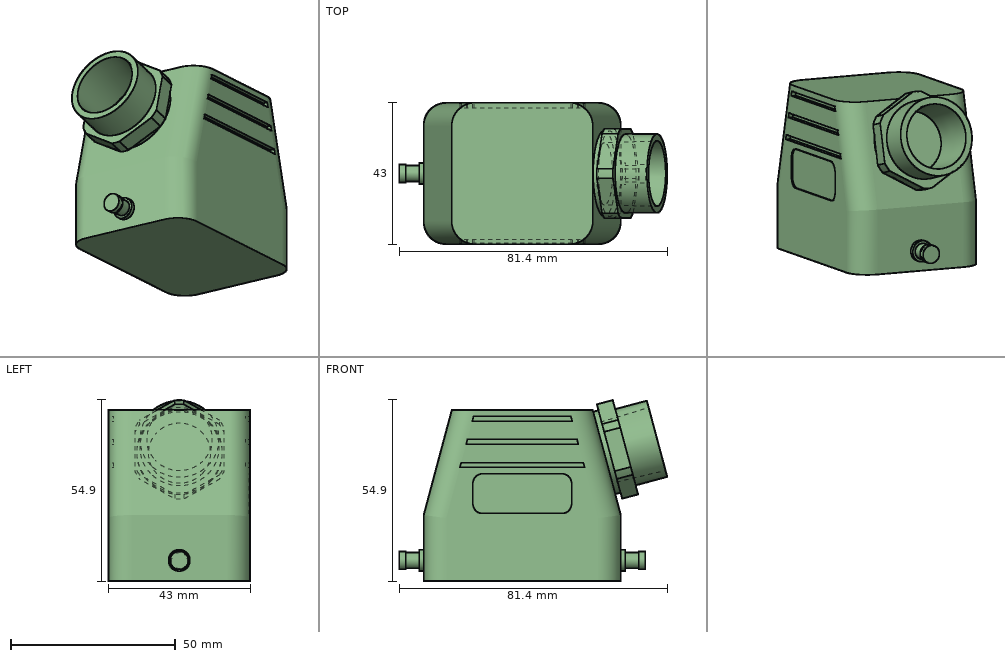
import cadquery as cq
import math


HOUSING_LENGTH = 59.95
HOUSING_WIDTH = 43.0
HOUSING_HEIGHT = 52.0
SHOULDER_HEIGHT = 20.0
LEAN_ANGLE = 15.0
CORNER_RADIUS = 6.9

GROOVE_COUNT = 3
GROOVE_HEIGHT = 1.5
GROOVE_DEPTH = 1.5
GROOVE_PITCH = 7.0
FIRST_GROOVE_DROP = 1.95

PANEL_LENGTH = 30.0
PANEL_HEIGHT = 12.05
PANEL_CENTRE_HEIGHT = 26.55
PANEL_CORNER_RADIUS = 2.9
PANEL_DEPTH = 0.4

PIN_HEIGHT = 6.3
PIN_LENGTH = 7.4
PIN_DIAMETER = 4.9
PIN_FLANGE_DIAMETER = 6.5
PIN_FLANGE_LENGTH = 1.4
PIN_HEAD_DIAMETER = 5.5
PIN_HEAD_LENGTH = 2.0

GLAND_DISTANCE_UP_WALL = 19.55
COLLAR_DIAMETER = 26.0
COLLAR_LENGTH = 1.6
NUT_ACROSS_FLATS = 27.05
NUT_CORNER_DIAMETER = 29.7
NUT_LENGTH = 5.05
TUBE_DIAMETER = 24.0
TUBE_LENGTH = 9.9
BORE_DIAMETER = 18.9
BORE_MOUTH_DIAMETER = 19.9

lean = math.radians(LEAN_ANGLE)
half_length = HOUSING_LENGTH / 2
half_width = HOUSING_WIDTH / 2


def half_length_at(height):
    """Half length of the housing along X at a height above the shoulder."""
    return half_length - (height - SHOULDER_HEIGHT) * math.tan(lean)


def make_housing():
    half_top = half_length_at(HOUSING_HEIGHT)
    return (
        cq.Workplane("XZ")
        .moveTo(-half_length, 0)
        .lineTo(half_length, 0)
        .lineTo(half_length, SHOULDER_HEIGHT)
        .lineTo(half_top, HOUSING_HEIGHT)
        .lineTo(-half_top, HOUSING_HEIGHT)
        .lineTo(-half_length, SHOULDER_HEIGHT)
        .close()
        .extrude(half_width, both=True)
        .faces("<Y or >Y")
        .edges("not #Z")
        .fillet(CORNER_RADIUS)
    )


def make_groove(top):
    """Groove cutter for the -Y side; its ends follow the lines where the rounded corners begin."""
    bottom = top - GROOVE_HEIGHT
    corner_run = CORNER_RADIUS / math.cos(lean)
    half_upper = half_length_at(top) - corner_run
    half_lower = half_length_at(bottom) - corner_run
    outline = [(-half_lower, bottom), (half_lower, bottom), (half_upper, top), (-half_upper, top)]
    return cq.Workplane("XZ", origin=(0, -half_width, 0)).polyline(outline).close().extrude(-GROOVE_DEPTH)


def make_panel():
    return (
        cq.Workplane("XZ", origin=(0, -half_width, PANEL_CENTRE_HEIGHT))
        .rect(PANEL_LENGTH, PANEL_HEIGHT)
        .extrude(-PANEL_DEPTH)
        .edges("|Y")
        .fillet(PANEL_CORNER_RADIUS)
    )


def make_pin():
    """Pin on the +X end: flange, plain shank and head."""
    pin = cq.Workplane("YZ", origin=(half_length, 0, PIN_HEIGHT))
    shank = pin.circle(PIN_DIAMETER / 2).extrude(PIN_LENGTH)
    flange = pin.circle(PIN_FLANGE_DIAMETER / 2).extrude(PIN_FLANGE_LENGTH)
    head = (
        pin.workplane(offset=PIN_LENGTH - PIN_HEAD_LENGTH)
        .circle(PIN_HEAD_DIAMETER / 2)
        .extrude(PIN_HEAD_LENGTH)
    )
    return shank.union(flange).union(head)


def gland_plane(distance):
    """Workplane square to the gland axis, at a distance outwards from the leaning wall."""
    base_height = SHOULDER_HEIGHT + GLAND_DISTANCE_UP_WALL * math.cos(lean)
    x = half_length_at(base_height) + distance * math.cos(lean)
    z = base_height + distance * math.sin(lean)
    outwards = (math.cos(lean), 0, math.sin(lean))
    return cq.Workplane(cq.Plane(origin=(x, 0, z), xDir=(0, 1, 0), normal=outwards))


def make_gland():
    """Collar, hexagon nut and open tube, stacked outwards from the leaning wall."""
    nut_end = COLLAR_LENGTH + NUT_LENGTH
    gland_length = nut_end + TUBE_LENGTH

    collar = gland_plane(0).circle(COLLAR_DIAMETER / 2).extrude(COLLAR_LENGTH)

    nut_plane = gland_plane(COLLAR_LENGTH)
    nut_round = nut_plane.circle(NUT_CORNER_DIAMETER / 2).extrude(NUT_LENGTH)
    nut = nut_plane.polygon(6, NUT_ACROSS_FLATS, circumscribed=True).extrude(NUT_LENGTH).intersect(nut_round)

    tube = gland_plane(nut_end).circle(TUBE_DIAMETER / 2).extrude(TUBE_LENGTH)

    bore = (
        gland_plane(0)
        .circle(BORE_DIAMETER / 2)
        .workplane(offset=gland_length)
        .circle(BORE_MOUTH_DIAMETER / 2)
        .loft()
    )
    return collar.union(nut).union(tube).cut(bore)


result = make_housing()

for index in range(GROOVE_COUNT):
    groove = make_groove(HOUSING_HEIGHT - FIRST_GROOVE_DROP - index * GROOVE_PITCH)
    result = result.cut(groove).cut(groove.mirror("XZ"))

result = result.cut(make_panel())

right_pin = make_pin()
result = result.union(right_pin).union(right_pin.mirror("YZ"))

result = result.union(make_gland())